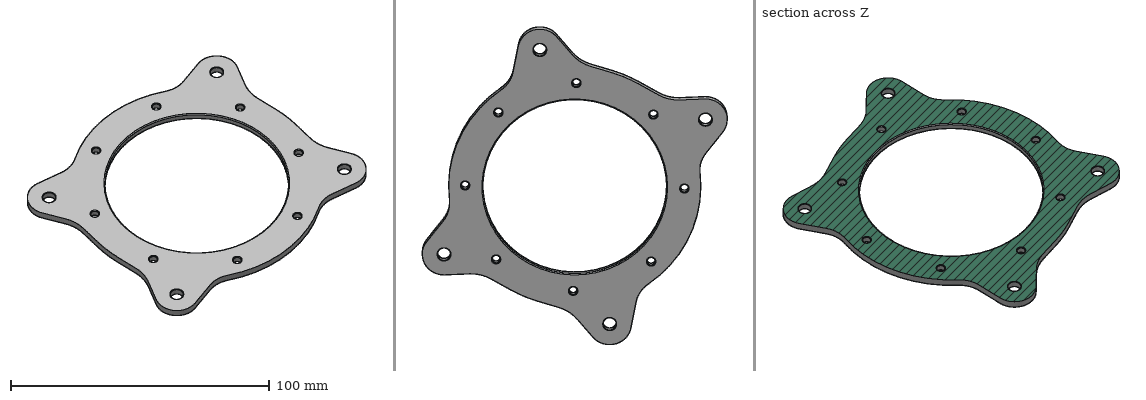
import cadquery as cq
import math

length = 108.3
width = 97.7
thickness = 3.0
ring_radius = width / 2

bore_diameter = 71.0
bore_chamfer = 0.4

ear_radius = 8.4
ear_x = 35.1
ear_y = length / 2 - ear_radius
ear_hole_diameter = 5.0
ear_hole_chamfer = 0.2
ear_side_angle = -13.2
ear_end_angle = 116.5
flat_angle = 83.7
side_fillet = 11.7
end_fillet = 14.9

small_hole_diameter = 3.0
small_hole_chamfer = 0.3
small_hole_count = 8
small_hole_circle_radius = 42.4
small_hole_start_angle = 21.9


def unit(angle):
    """Unit vector at an angle in degrees from +X."""
    return cq.Vector(math.cos(math.radians(angle)), math.sin(math.radians(angle)))


def line_crossing(angle_a, offset_a, angle_b, offset_b):
    """Crossing of two lines given by their normal angles and distances from the origin."""
    a = unit(angle_a)
    b = unit(angle_b)
    determinant = a.x * b.y - a.y * b.x
    x = (offset_a * b.y - offset_b * a.y) / determinant
    y = (a.x * offset_b - b.x * offset_a) / determinant
    return cq.Vector(x, y)


ear_center = cq.Vector(ear_x, ear_y)
side_normal = unit(ear_side_angle)
end_normal = unit(ear_end_angle)
side_tangent = ear_center + side_normal * ear_radius
end_tangent = ear_center + end_normal * ear_radius

side_offset = side_normal.dot(side_tangent)
side_run = math.sqrt(ring_radius**2 - side_offset**2)
side_corner = side_normal * side_offset + unit(ear_side_angle + 90) * side_run
end_corner = line_crossing(ear_end_angle, end_normal.dot(end_tangent), flat_angle, ring_radius)
flat_start = unit(flat_angle) * ring_radius


def make_quadrant():
    """The +X +Y quarter of the plate, without holes."""
    side_corner_angle = math.degrees(math.atan2(side_corner.y, side_corner.x))
    ring_side_middle = unit(side_corner_angle / 2) * ring_radius
    ear_tip = ear_center + unit((ear_side_angle + ear_end_angle) / 2) * ear_radius
    ring_end_middle = unit((flat_angle + 90) / 2) * ring_radius
    outline = (
        cq.Workplane("XY")
        .lineTo(ring_radius, 0)
        .threePointArc(ring_side_middle, side_corner)
        .lineTo(side_tangent.x, side_tangent.y)
        .threePointArc(ear_tip, end_tangent)
        .lineTo(end_corner.x, end_corner.y)
        .lineTo(flat_start.x, flat_start.y)
        .threePointArc(ring_end_middle, cq.Vector(0, ring_radius))
        .close()
    )
    body = outline.extrude(thickness)
    for corner, radius in ((side_corner, side_fillet), (end_corner, end_fillet)):
        edge = cq.selectors.NearestToPointSelector((corner.x, corner.y, thickness / 2))
        body = body.edges("|Z").edges(edge).fillet(radius)
    return body


def make_plate():
    """Four mirrored quadrants joined together."""
    quadrant = make_quadrant()
    half = quadrant.union(quadrant.mirror("YZ"))
    return half.union(half.mirror("XZ")).clean()


def hole_cutter(diameter, chamfer):
    """Through-hole cutter centred on the Z axis, flared by the chamfer at both faces."""
    radius = diameter / 2
    mouth_radius = radius + chamfer
    return (
        cq.Workplane("XZ")
        .lineTo(mouth_radius, 0)
        .lineTo(radius, chamfer)
        .lineTo(radius, thickness - chamfer)
        .lineTo(mouth_radius, thickness)
        .lineTo(0, thickness)
        .close()
        .revolve(360, (0, 0), (0, 1))
    )


def cut_bore(body):
    """Central opening."""
    return body.cut(hole_cutter(bore_diameter, bore_chamfer))


def cut_ear_holes(body):
    """One mounting hole at the centre of each ear."""
    cutter = hole_cutter(ear_hole_diameter, ear_hole_chamfer)
    for x in (-ear_x, ear_x):
        for y in (-ear_y, ear_y):
            body = body.cut(cutter.translate((x, y, 0)))
    return body


def cut_small_holes(body):
    """Evenly spaced holes around the ring."""
    cutter = hole_cutter(small_hole_diameter, small_hole_chamfer)
    for index in range(small_hole_count):
        angle = small_hole_start_angle + index * 360 / small_hole_count
        body = body.cut(cutter.translate(unit(angle) * small_hole_circle_radius))
    return body


result = cut_small_holes(cut_ear_holes(cut_bore(make_plate())))